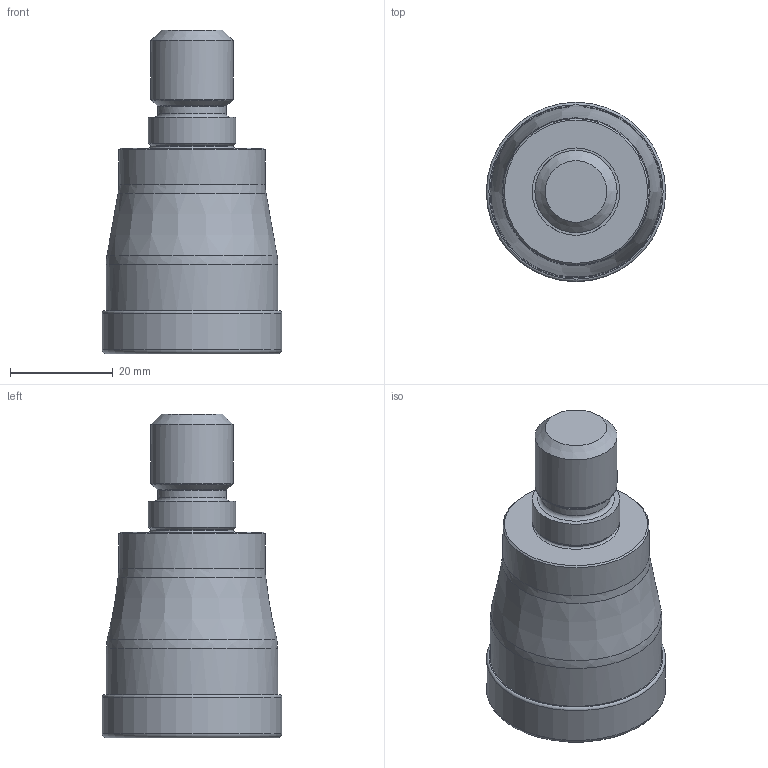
import cadquery as cq

head_height = 8.4
shoulder_height = 40.0
total_height = 63.0

head_diameter = 34.92
head_top_round = 0.5
head_end_round = 0.8

shank_wide_diameter = 33.4
shank_narrow_diameter = 28.5
taper_bottom = 18.3
taper_top = 32.13
taper_blend_radius = 10.0
shank_edge_chamfer = 0.3

pilot_diameter = 17.0
pilot_height = 6.0
pilot_top = shoulder_height + pilot_height
undercut_diameter = 16.1
undercut_height = 1.0
undercut_round = 0.4

stud_diameter = 16.0
stud_tip_chamfer = 2.0
neck_diameter = 13.4
neck_base_round = 0.75
neck_top_round = 0.2
stud_bottom = 49.35
neck_cone_height = 1.1
stud_bottom_round = 0.4

ring_tolerance = 0.001


def fillet_ring(body, diameter, height, radius):
    """Round the circular edge of the given diameter at the given height."""
    ring = [
        edge
        for edge in body.edges("%CIRCLE").vals()
        if abs(edge.radius() - diameter / 2) < ring_tolerance
        and abs(edge.Center().z - height) < ring_tolerance
    ]
    return body.newObject(ring).fillet(radius)


def make_cutting_head():
    disc = cq.Workplane("XY").circle(head_diameter / 2).extrude(head_height)
    disc = fillet_ring(disc, head_diameter, head_height, head_top_round)
    return fillet_ring(disc, head_diameter, 0, head_end_round)


def make_shank():
    shank_wide_radius = shank_wide_diameter / 2
    shank_narrow_radius = shank_narrow_diameter / 2
    pilot_radius = pilot_diameter / 2
    undercut_radius = undercut_diameter / 2
    undercut_top = shoulder_height + undercut_height
    undercut_depth = pilot_radius - undercut_radius
    neck_radius = neck_diameter / 2
    stud_radius = stud_diameter / 2
    neck_top = stud_bottom - neck_cone_height

    profile = (
        cq.Workplane("XZ")
        .moveTo(0, head_height)
        .lineTo(shank_wide_radius, head_height)
        .lineTo(shank_wide_radius, taper_bottom)
        .lineTo(shank_narrow_radius, taper_top)
        .lineTo(shank_narrow_radius, shoulder_height - shank_edge_chamfer)
        .lineTo(shank_narrow_radius - shank_edge_chamfer, shoulder_height)
        .lineTo(undercut_radius, shoulder_height)
        .lineTo(undercut_radius, undercut_top - undercut_depth)
        .lineTo(pilot_radius, undercut_top)
        .lineTo(pilot_radius, pilot_top)
        .lineTo(neck_radius, pilot_top)
        .lineTo(neck_radius, neck_top)
        .lineTo(stud_radius, stud_bottom)
        .lineTo(stud_radius, total_height - stud_tip_chamfer)
        .lineTo(stud_radius - stud_tip_chamfer, total_height)
        .lineTo(0, total_height)
        .close()
    )
    shank = profile.revolve(360, (0, 0, 0), (0, 1, 0))

    for diameter, height, radius in [
        (shank_wide_diameter, taper_bottom, taper_blend_radius),
        (shank_narrow_diameter, taper_top, taper_blend_radius),
        (undercut_diameter, shoulder_height, undercut_round),
        (neck_diameter, pilot_top, neck_base_round),
        (neck_diameter, neck_top, neck_top_round),
        (stud_diameter, stud_bottom, stud_bottom_round),
    ]:
        shank = fillet_ring(shank, diameter, height, radius)
    return shank


cutting_head = make_cutting_head()
shank = make_shank()

result = cq.Compound.makeCompound([cutting_head.val(), shank.val()])